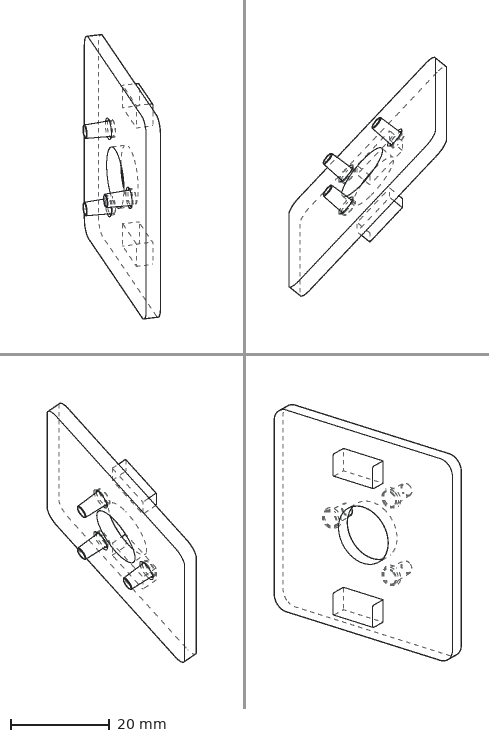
import cadquery as cq
import math

plate_side = 45.0
plate_thickness = 3.0
corner_radius = 3.1
center_hole_diameter = 12.5

pin_count = 3
pin_circle_radius = 10.0
pin_length = 5.0
pin_face_diameter = 3.15
pin_tip_diameter = 2.75
pin_tip_chamfer = 0.15
recess_mouth_diameter = 4.35
recess_mouth_depth = 0.3
recess_diameter = 3.7
recess_depth = 1.0

block_width = 10.0
block_height = 5.0
block_depth = 3.5
block_offset = 15.5
block_edge_radius = 0.35


def make_plate():
    """Rounded square plate with a round hole through its middle."""
    return (
        cq.Workplane("XZ")
        .rect(plate_side, plate_side)
        .extrude(-plate_thickness)
        .edges("|Y")
        .fillet(corner_radius)
        .faces("<Y")
        .workplane(centerOption="CenterOfBoundBox")
        .hole(center_hole_diameter)
    )


def revolve_about_y(profile):
    """Turn a (radius, y) profile into a solid around the Y axis."""
    return cq.Workplane("XY").polyline(profile).close().revolve(360, (0, 0), (0, 1))


def make_recess():
    """Round recess with a conical mouth and a flat floor."""
    return revolve_about_y([
        (0, 0),
        (recess_mouth_diameter / 2, 0),
        (recess_diameter / 2, recess_mouth_depth),
        (recess_diameter / 2, recess_depth),
        (0, recess_depth),
    ])


def make_pin():
    """Tapered pin that runs from the recess floor to its chamfered tip."""
    taper = (pin_face_diameter - pin_tip_diameter) / 2 / pin_length
    tip_radius = pin_tip_diameter / 2
    root_radius = pin_face_diameter / 2 + taper * recess_depth
    return revolve_about_y([
        (0, recess_depth),
        (root_radius, recess_depth),
        (tip_radius + taper * pin_tip_chamfer, pin_tip_chamfer - pin_length),
        (tip_radius - pin_tip_chamfer, -pin_length),
        (0, -pin_length),
    ])


def make_block(z_center):
    """Block on the back face with its two long outer edges rounded."""
    return (
        cq.Workplane("XY")
        .box(block_width, block_depth, block_height)
        .edges("|X and >Y")
        .fillet(block_edge_radius)
        .translate((0, plate_thickness + block_depth / 2, z_center))
    )


result = make_plate()

for index in range(pin_count):
    angle = 2 * math.pi * index / pin_count
    place = (pin_circle_radius * math.cos(angle), 0, pin_circle_radius * math.sin(angle))
    result = result.cut(make_recess().translate(place))
    result = result.union(make_pin().translate(place))

for side in (-1, 1):
    result = result.union(make_block(side * block_offset))